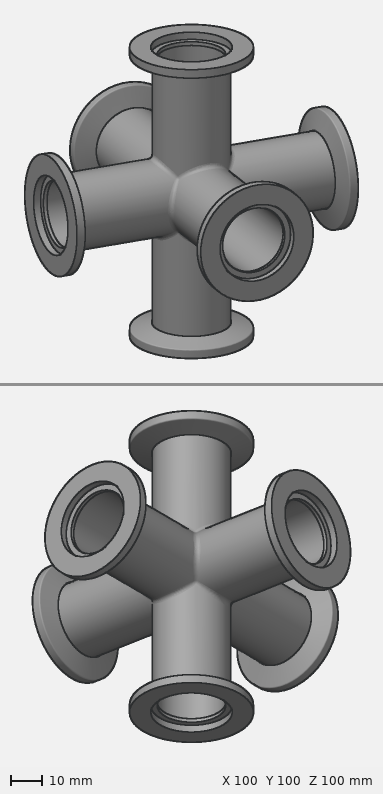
import cadquery as cq

HALF_SPAN = 50.0

TUBE_OD = 25.4
TUBE_BORE = 22.1
CROTCH_FILLET = 1.5

FLANGE_OD = 40.0
FLANGE_LENGTH = 4.9
RIM_THICKNESS = 3.0
RIM_FILLET = 0.5
RECESS_DIAMETER = 26.2
RECESS_DEPTH = 2.5
SOCKET_DIAMETER = 25.7
SOCKET_FLOOR_DEPTH = 3.8

ARM_LENGTH = HALF_SPAN - SOCKET_FLOOR_DEPTH

DIRECTIONS = [
    (1, 0, 0),
    (-1, 0, 0),
    (0, 1, 0),
    (0, -1, 0),
    (0, 0, 1),
    (0, 0, -1),
]


def crossed_cylinders(diameter):
    """Three equal cylinders through the centre, one along each axis."""
    cylinders = [
        cq.Workplane(plane).circle(diameter / 2).extrude(ARM_LENGTH, both=True)
        for plane in ("XY", "YZ", "XZ")
    ]
    return cylinders[0].union(cylinders[1]).union(cylinders[2])


def make_hub():
    """Six-way tube cross with blended crotches and open bores."""
    outside = crossed_cylinders(TUBE_OD)
    zone_corner = (TUBE_OD, TUBE_OD, TUBE_OD)
    opposite_corner = (-TUBE_OD, -TUBE_OD, -TUBE_OD)
    crotch_zone = cq.selectors.BoxSelector(opposite_corner, zone_corner, boundingbox=True)
    blended = outside.edges(crotch_zone).fillet(CROTCH_FILLET)
    return blended.cut(crossed_cylinders(TUBE_BORE))


def make_flange():
    """Clamp flange around Z: sealing face at Z = 0, tube side towards -Z."""
    recess_r = RECESS_DIAMETER / 2
    bore_r = TUBE_BORE / 2
    socket_r = SOCKET_DIAMETER / 2
    rim_r = FLANGE_OD / 2
    flange = (
        cq.Workplane("XZ")
        .moveTo(rim_r, 0)
        .lineTo(rim_r, -RIM_THICKNESS)
        .lineTo(socket_r, -FLANGE_LENGTH)
        .lineTo(socket_r, -SOCKET_FLOOR_DEPTH)
        .lineTo(bore_r, -SOCKET_FLOOR_DEPTH)
        .lineTo(bore_r, -RECESS_DEPTH)
        .lineTo(recess_r, -RECESS_DEPTH)
        .lineTo(recess_r, 0)
        .close()
        .revolve(360, (0, 0, 0), (0, 1, 0))
    )
    rim_corner = cq.selectors.NearestToPointSelector((0, 0, -RIM_THICKNESS))
    return flange.edges(rim_corner).fillet(RIM_FILLET)


def place_on_arm(flange, direction):
    """Copy of the flange at the end of the arm that points along direction."""
    face_centre = cq.Vector(*direction) * HALF_SPAN
    return flange.val().moved(cq.Plane(face_centre, normal=direction).location)


hub = make_hub()
flange = make_flange()
flanges = [place_on_arm(flange, direction) for direction in DIRECTIONS]

result = cq.Compound.makeCompound([hub.val(), *flanges])